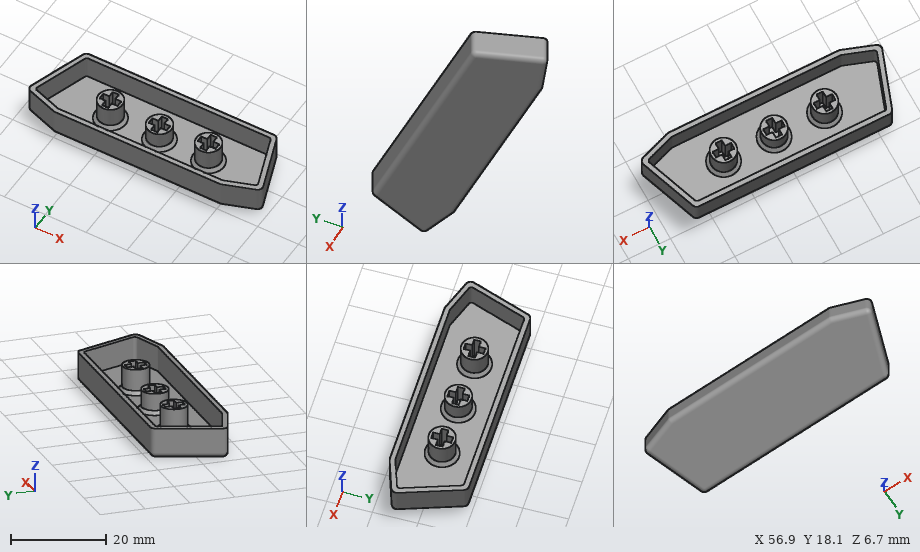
import cadquery as cq

length = 56.9
depth = 18.05
height = 6.7

floor_thickness = 1.2
outer_radius = 1.2
bottom_radius = 1.2
inner_radius = 0.7

back_corner_x = 22.6
side_corner_x = length / 2 - outer_radius
side_corner_y = -5.35
front_corner_x = 20.15
back_corner_y = depth / 2 - outer_radius
front_corner_y = -back_corner_y

stem_spacing = 12.0
stem_diameter = 5.8
stem_foot = 0.8
middle_stem_drop = 0.95
cross_length = 4.4
cross_width = 1.5

outer_stem_height = height - floor_thickness
middle_stem_height = outer_stem_height - middle_stem_drop


def corner_centre_outline(base_z):
    """Six-sided outline through the centres of the outer corner rounds."""
    right_half = [
        (front_corner_x, front_corner_y),
        (side_corner_x, side_corner_y),
        (back_corner_x, back_corner_y),
    ]
    left_half = [(-x, y) for x, y in reversed(right_half)]
    return cq.Workplane("XY").workplane(offset=base_z).polyline(right_half + left_half).close()


def make_shell():
    """Open tray with rounded corners and a rounded underside."""
    body = corner_centre_outline(0).offset2D(outer_radius).extrude(height)
    body = body.faces("<Z").edges().fillet(bottom_radius)
    cavity = corner_centre_outline(floor_thickness).extrude(height)
    cavity = cavity.edges("|Z").fillet(inner_radius)
    return body.cut(cavity)


def make_stem(x, stem_height):
    """Stem with a conical foot, standing on the floor."""
    radius = stem_diameter / 2
    profile = [
        (0, 0),
        (radius + stem_foot, 0),
        (radius, stem_foot),
        (radius, stem_height),
        (0, stem_height),
    ]
    stem = cq.Workplane("XZ").polyline(profile).close().revolve(360, (0, 0), (0, 1))
    return stem.translate((x, 0, floor_thickness))


def make_socket(x, stem_height):
    """Cross-shaped socket reaching from the stem top down to the floor."""
    plane = cq.Workplane("XY").workplane(offset=floor_thickness).center(x, 0)
    along_x = plane.rect(cross_length, cross_width).extrude(stem_height)
    along_y = plane.rect(cross_width, cross_length).extrude(stem_height)
    return along_x.union(along_y)


stems = [
    (-stem_spacing, outer_stem_height),
    (0, middle_stem_height),
    (stem_spacing, outer_stem_height),
]

result = make_shell()
for stem_x, stem_height in stems:
    result = result.union(make_stem(stem_x, stem_height))
    result = result.cut(make_socket(stem_x, stem_height))